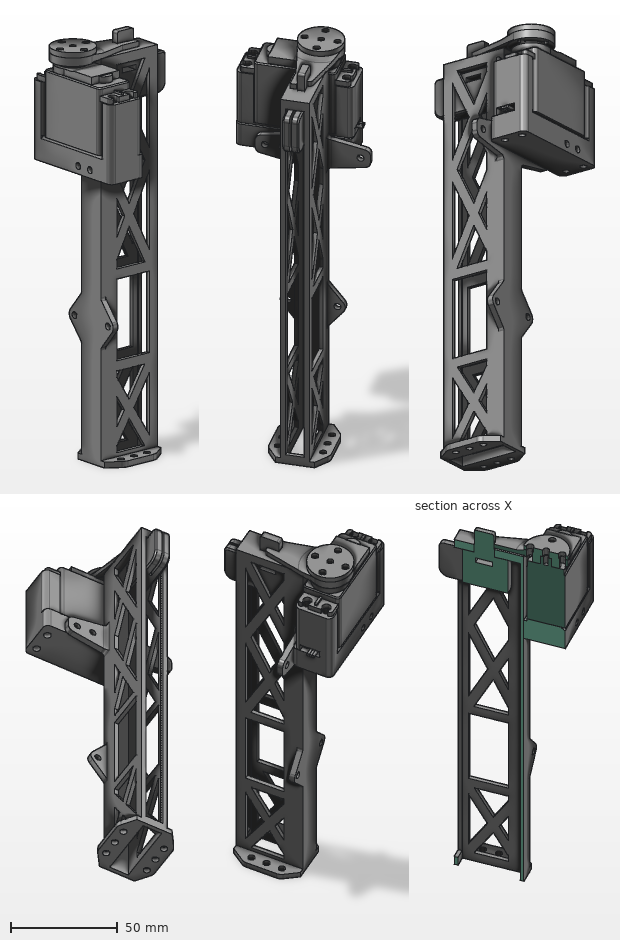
import cadquery as cq
import math

PICK_MARGIN = 0.3

ARM_WIDTH = 14.0
ARM_DEPTH = 35.0
ARM_HEIGHT = 200.0
ARM_WALL = 2.0
ARM_FRAME = 5.0
ARM_MID_Y = ARM_DEPTH / 2
BACK_SLOT_WIDTH = 9.0
WINDOW_Y = (10.0, 30.0)
SMALL_CELL_HEIGHT = 40.0
LARGE_CELL_HEIGHT = 50.0
CELL_WIDTH = 25.0
BLANK_CELL_Z = (50.0, 90.0)

SCREW_HOLE = 3.3
TAB_THICKNESS = 3.0

FOOT_THICKNESS = 3.0
FOOT_HALF_WIDTH = 15.2
FOOT_END_HALF_WIDTH = 9.5
FOOT_CORNER_LENGTH = 8.0
FOOT_CORNER_RADIUS = 5.0
FOOT_HOLE_X = 11.0
FOOT_HOLE_PITCH = 8.0
FOOT_HOLE_MID_Y = 17.0

LOW_TAB_Z = 70.0
LOW_TAB_HALF_HEIGHT = 12.0
LOW_TAB_HOLE_X = 12.0
LOW_TAB_END_RADIUS = 3.8
TAB_ROOT_RADIUS = 2.0

HIGH_TAB_Z = 153.5
HIGH_TAB_HALF_WIDTH = 28.0
HIGH_TAB_ROOT_HALF_HEIGHT = 8.1
HIGH_TAB_SLOPE = math.tan(math.radians(10))
HIGH_TAB_CORNER_RADIUS = 3.0
HIGH_TAB_HOLE_X = 23.2
INNER_SCREW_X = 14.8

SLIDER_WIDTH = 8.0
SLIDER_Y = (8.0, 43.0)
SLIDER_TOP = ARM_HEIGHT - ARM_FRAME
SLIDER_BOTTOM = 174.8
SLIDER_TOP_RADIUS = 2.5
SLIDER_BOTTOM_RADIUS = 5.0
SLIDER_EDGE = 0.8
PRONG_GAP = 1.2
PRONG_GAP_DEPTH = 12.0
LATCH_WIDTH = 3.5
LATCH_Y = (15.0, 25.0)
LATCH_TOP = 209.0
LATCH_RADIUS = 1.2
PIN_SLOT_Y = (15.8, 24.2)
PIN_SLOT_Z = (189.2, 191.7)

SHAFT_X = -0.3
SHAFT_Y = -11.0
SERVO_MID_X = 9.97
SERVO_LENGTH = 40.0
SERVO_WIDTH = 19.4
SERVO_BOTTOM = 162.0
SERVO_TOP = 195.0
SERVO_CORNER_RADIUS = 2.0
SERVO_TOP_CHAMFER = 0.6
WING_Z = (188.5, 191.2)
WING_SPAN = 53.3
WING_WIDTH = 18.0
WING_CORNER_RADIUS = 1.5
WING_HOLE = 4.2
WING_HOLE_SPAN = 48.3
WING_HOLE_PITCH = 10.0
WING_SLOT_WIDTH = 3.4
WING_RIB_WIDTH = 1.3
WING_RIB_TOP = 192.3
WING_RIB_SETBACK = 1.2
GEAR_BOSS_TOP = 198.2
GEAR_BOSS_RADIUS = 9.3
GEAR_CASE_TOP = 198.7
GEAR_CASE_WIDTH = 17.2
GEAR_CASE_END_X = 23.2
GEAR_CASE_STEP_X = (8.5, 10.8)
IDLER_DIAMETER = 8.8
IDLER_X = 21.5
SHAFT_DIAMETER = 5.7
SHAFT_TOP = 203.0
SHAFT_SCREW_HOLE = 2.11
WIRE_DIAMETER = 1.5
WIRE_PITCH = 1.3
WIRE_COUNT = 3
WIRE_Z = 162.8
WIRE_END_X = -21.0
RELIEF_X = -13.0
RELIEF_Y = (-14.0, -8.3)
RELIEF_TOP = 164.4

BRACKET_LENGTH = 57.0
BRACKET_Z = (149.5, WING_Z[0])
BRACKET_FRONT = SHAFT_Y - SERVO_WIDTH / 2
BRACKET_BACK = SHAFT_Y + SERVO_WIDTH / 2
BRACKET_PAD_TOP = 161.0
BRACKET_CORNER_RADIUS = 2.8
BRACKET_MOUTH = 2.0
BRACKET_SILL = 1.3
BRACKET_WING_SCREW = 3.5
WIRE_DOOR_Y = (-14.6, -4.3)
WIRE_DOOR_Z = (161.0, 164.7)

HORN_DIAMETER = 22.2
HORN_TOP = 207.0
HORN_JOINT = 204.3
HORN_NECK_DIAMETER = 13.85
HORN_SCREW = 3.4
HORN_SCREW_RADIUS = 8.0
HORN_CENTRE_SCREW = 3.1
LEVER_HUB_BOTTOM = 200.2
LEVER_BOTTOM = 200.6
LEVER_TOP = 203.2
LEVER_FLARE = 3.8
LEVER_LEFT_TIP = (-4.4, 21.2)
LEVER_LEFT_TIP_RADIUS = 1.8
LEVER_RIGHT_X = 5.0
LEVER_RIGHT_TIP_Y = 25.2
LEVER_RIGHT_BEND_Y = 15.0
LEVER_HOOK_X = 1.9


def box(x, y, z):
    """Box between the given pairs of limits."""
    return (
        cq.Workplane("XY")
        .box(x[1] - x[0], y[1] - y[0], z[1] - z[0], centered=False)
        .translate((x[0], y[0], z[0]))
    )


def rod(x, y, z, diameter):
    """Upright cylinder centred on (x, y) between the two heights in z."""
    return (
        cq.Workplane("XY", origin=(x, y, z[0]))
        .circle(diameter / 2)
        .extrude(z[1] - z[0])
    )


def tangent_point(point, centre, radius, side):
    """Where the tangent from a point touches a circle; side +1 or -1 picks the tangent."""
    dx = point[0] - centre[0]
    dy = point[1] - centre[1]
    angle = math.atan2(dy, dx) + side * math.acos(radius / math.hypot(dx, dy))
    return (centre[0] + radius * math.cos(angle), centre[1] + radius * math.sin(angle))


def front_holes(x_places, z, diameter, depth):
    """Round cutters along Y, from just in front of the bracket to the given Y."""
    start = BRACKET_FRONT - 1
    return (
        cq.Workplane("XZ", origin=(0, start, 0))
        .pushPoints([(x, z) for x in x_places])
        .circle(diameter / 2)
        .extrude(start - depth)
    )


def truss_windows(bottom, top):
    """Cutter for one truss cell: its window less the two diagonal bars."""
    middle = (ARM_MID_Y, (bottom + top) / 2)
    height = top - bottom
    diagonal = math.hypot(CELL_WIDTH, height)
    lean = math.degrees(math.atan2(height, CELL_WIDTH))
    cell = box((-ARM_WIDTH, ARM_WIDTH), WINDOW_Y, (bottom, top))
    for angle in (lean, -lean):
        bar = (
            cq.Workplane("YZ", origin=(-ARM_WIDTH, *middle))
            .transformed(rotate=(0, 0, angle))
            .rect(2 * diagonal, ARM_FRAME)
            .extrude(2 * ARM_WIDTH)
        )
        cell = cell.cut(bar)
    return cell


def high_tab():
    """Long tab behind the bracket, tapering to both ends."""
    root_x = ARM_WIDTH / 2
    tip_half = HIGH_TAB_ROOT_HALF_HEIGHT - (HIGH_TAB_HALF_WIDTH - root_x) * HIGH_TAB_SLOPE
    mid_half = HIGH_TAB_ROOT_HALF_HEIGHT + root_x * HIGH_TAB_SLOPE
    end = HIGH_TAB_HALF_WIDTH
    return (
        cq.Workplane("XZ", origin=(0, TAB_THICKNESS, HIGH_TAB_Z))
        .polyline(
            [
                (-end, -tip_half), (0, -mid_half), (end, -tip_half),
                (end, tip_half), (0, mid_half), (-end, tip_half),
            ]
        )
        .close()
        .extrude(TAB_THICKNESS)
        .edges("|Y and (<X or >X)")
        .fillet(HIGH_TAB_CORNER_RADIUS)
    )


def low_tab():
    """Diamond tab whose straight sides run tangent to a round end at each hole."""
    root = (ARM_WIDTH / 2, LOW_TAB_HALF_HEIGHT)
    touch_x, touch_z = tangent_point(root, (LOW_TAB_HOLE_X, 0), LOW_TAB_END_RADIUS, -1)
    tip_x = LOW_TAB_HOLE_X + LOW_TAB_END_RADIUS
    return (
        cq.Workplane("XZ", origin=(0, TAB_THICKNESS, LOW_TAB_Z))
        .moveTo(*root)
        .lineTo(touch_x, touch_z)
        .threePointArc((tip_x, 0), (touch_x, -touch_z))
        .lineTo(root[0], -root[1])
        .lineTo(-root[0], -root[1])
        .lineTo(-touch_x, -touch_z)
        .threePointArc((-tip_x, 0), (-touch_x, touch_z))
        .lineTo(-root[0], root[1])
        .close()
        .extrude(TAB_THICKNESS)
    )


def foot():
    """Foot plate with cut corners and three screw holes on each side."""
    wide, narrow = FOOT_HALF_WIDTH, FOOT_END_HALF_WIDTH
    near, far = FOOT_CORNER_LENGTH, ARM_DEPTH - FOOT_CORNER_LENGTH
    plate = (
        cq.Workplane("XY")
        .polyline(
            [
                (-narrow, 0), (narrow, 0), (wide, near), (wide, far),
                (narrow, ARM_DEPTH), (-narrow, ARM_DEPTH), (-wide, far), (-wide, near),
            ]
        )
        .close()
        .extrude(FOOT_THICKNESS)
        .edges("|Z and (<X or >X)")
        .fillet(FOOT_CORNER_RADIUS)
    )
    for x in (-FOOT_HOLE_X, FOOT_HOLE_X):
        for step in (-1, 0, 1):
            y = FOOT_HOLE_MID_Y + step * FOOT_HOLE_PITCH
            plate = plate.cut(rod(x, y, (0, FOOT_THICKNESS), SCREW_HOLE))
    return plate


def build_arm():
    half = ARM_WIDTH / 2
    arm = box((-half, half), (0, ARM_DEPTH), (0, ARM_HEIGHT)).union(high_tab())

    root_height = HIGH_TAB_ROOT_HALF_HEIGHT + TAB_ROOT_RADIUS
    for side in (-half, half):
        roots = cq.selectors.BoxSelector(
            (side - PICK_MARGIN, -PICK_MARGIN, HIGH_TAB_Z - root_height),
            (side + PICK_MARGIN, TAB_THICKNESS + PICK_MARGIN, HIGH_TAB_Z + root_height),
        )
        arm = arm.edges(roots).fillet(TAB_ROOT_RADIUS)
    arm = arm.union(low_tab())
    for side in (-half, half):
        for end in (-LOW_TAB_HALF_HEIGHT, LOW_TAB_HALF_HEIGHT):
            root = cq.selectors.NearestToPointSelector((side, TAB_THICKNESS / 2, LOW_TAB_Z + end))
            arm = arm.edges("|Y").edges(root).fillet(TAB_ROOT_RADIUS)
    arm = arm.union(foot())

    inner = half - ARM_WALL
    cavity_top = ARM_HEIGHT - ARM_FRAME
    slot_half = BACK_SLOT_WIDTH / 2
    arm = arm.cut(box((-inner, inner), (ARM_WALL, ARM_DEPTH - ARM_WALL), (0, cavity_top)))
    arm = arm.cut(box((-slot_half, slot_half), (ARM_MID_Y, ARM_DEPTH), (ARM_FRAME, cavity_top)))

    low_cell_top = ARM_FRAME + SMALL_CELL_HEIGHT
    arm = arm.cut(truss_windows(ARM_FRAME, low_cell_top))
    arm = arm.cut(box((-ARM_WIDTH, ARM_WIDTH), WINDOW_Y, BLANK_CELL_Z))
    for row in range(2):
        bottom = BLANK_CELL_Z[1] + ARM_FRAME + row * LARGE_CELL_HEIGHT
        arm = arm.cut(truss_windows(bottom, bottom + LARGE_CELL_HEIGHT))

    arm = arm.cut(latch_bar(SLIDER_TOP, ARM_HEIGHT))
    high_holes = (-HIGH_TAB_HOLE_X, INNER_SCREW_X, HIGH_TAB_HOLE_X)
    arm = arm.cut(front_holes(high_holes, HIGH_TAB_Z, SCREW_HOLE, TAB_THICKNESS))
    low_holes = (-LOW_TAB_HOLE_X, LOW_TAB_HOLE_X)
    return arm.cut(front_holes(low_holes, LOW_TAB_Z, SCREW_HOLE, TAB_THICKNESS))


def latch_bar(bottom, top):
    """Rectangular latch section between two heights."""
    return box((SHAFT_X - LATCH_WIDTH / 2, SHAFT_X + LATCH_WIDTH / 2), LATCH_Y, (bottom, top))


def build_slider():
    half = SLIDER_WIDTH / 2
    block = box((-half, half), SLIDER_Y, (SLIDER_BOTTOM, SLIDER_TOP))
    block = block.edges("|X and >Y and >Z").fillet(SLIDER_TOP_RADIUS)
    block = block.edges("|X and >Y and <Z").fillet(SLIDER_BOTTOM_RADIUS)
    block = block.faces(">Y").edges("|Z").chamfer(SLIDER_EDGE)
    gap_y = (SLIDER_Y[1] - PRONG_GAP_DEPTH, SLIDER_Y[1])
    block = block.cut(box((-PRONG_GAP / 2, PRONG_GAP / 2), gap_y, (SLIDER_BOTTOM, SLIDER_TOP)))
    block = block.cut(box((-half, half), PIN_SLOT_Y, PIN_SLOT_Z))
    latch = latch_bar(SLIDER_TOP, LATCH_TOP).edges("|X and >Z").fillet(LATCH_RADIUS)
    return block.union(latch)


def wing_holes(diameter, z):
    """Four upright cutters on the servo's screw pattern."""
    cutters = cq.Workplane("XY")
    for side in (-1, 1):
        for row in (-1, 1):
            x = SERVO_MID_X + side * WING_HOLE_SPAN / 2
            y = SHAFT_Y + row * WING_HOLE_PITCH / 2
            cutters = cutters.add(rod(x, y, z, diameter))
    return cutters.combine()


def servo_wings():
    """Screw wings at both ends, with open-ended screw holes and a stiffening rib."""
    half_span = WING_SPAN / 2
    wings = box(
        (SERVO_MID_X - half_span, SERVO_MID_X + half_span),
        (SHAFT_Y - WING_WIDTH / 2, SHAFT_Y + WING_WIDTH / 2),
        WING_Z,
    )
    wings = wings.edges("|Z").fillet(WING_CORNER_RADIUS)
    wings = wings.cut(wing_holes(WING_HOLE, WING_Z))
    for side in (-1, 1):
        slot_x = sorted(SERVO_MID_X + side * reach for reach in (WING_HOLE_SPAN / 2, half_span))
        for row in (-1, 1):
            y = SHAFT_Y + row * WING_HOLE_PITCH / 2
            wings = wings.cut(box(slot_x, (y - WING_SLOT_WIDTH / 2, y + WING_SLOT_WIDTH / 2), WING_Z))
    rib_half = half_span - WING_RIB_SETBACK
    rib = box(
        (SERVO_MID_X - rib_half, SERVO_MID_X + rib_half),
        (SHAFT_Y - WING_RIB_WIDTH / 2, SHAFT_Y + WING_RIB_WIDTH / 2),
        (WING_Z[1], WING_RIB_TOP),
    )
    return wings.union(rib)


def servo_wires():
    """Row of wires leaving the servo's end, with the block that grips them."""
    end_x = SERVO_MID_X - SERVO_LENGTH / 2 + SERVO_CORNER_RADIUS
    cable = box((RELIEF_X, end_x), RELIEF_Y, (SERVO_BOTTOM, RELIEF_TOP))
    for index in range(WIRE_COUNT):
        y = SHAFT_Y + (index - (WIRE_COUNT - 1) / 2) * WIRE_PITCH
        wire = (
            cq.Workplane("YZ", origin=(WIRE_END_X, y, WIRE_Z))
            .circle(WIRE_DIAMETER / 2)
            .extrude(end_x - WIRE_END_X)
        )
        cable = cable.union(wire)
    return cable


def build_servo():
    case = (
        cq.Workplane("XY", origin=(SERVO_MID_X, SHAFT_Y, SERVO_BOTTOM))
        .rect(SERVO_LENGTH, SERVO_WIDTH)
        .extrude(SERVO_TOP - SERVO_BOTTOM)
        .edges("|Z")
        .fillet(SERVO_CORNER_RADIUS)
        .faces(">Z")
        .edges()
        .chamfer(SERVO_TOP_CHAMFER)
    )
    case_y = (SHAFT_Y - GEAR_CASE_WIDTH / 2, SHAFT_Y + GEAR_CASE_WIDTH / 2)
    boss_z = (SERVO_TOP, GEAR_BOSS_TOP)
    ramp_start, ramp_end = GEAR_CASE_STEP_X
    gear_case = (
        cq.Workplane("XZ", origin=(0, case_y[1], 0))
        .polyline(
            [
                (SHAFT_X, SERVO_TOP), (SHAFT_X, GEAR_BOSS_TOP), (ramp_start, GEAR_BOSS_TOP),
                (ramp_end, GEAR_CASE_TOP), (GEAR_CASE_END_X, GEAR_CASE_TOP), (GEAR_CASE_END_X, SERVO_TOP),
            ]
        )
        .close()
        .extrude(GEAR_CASE_WIDTH)
    )
    return (
        case.union(servo_wings())
        .union(servo_wires())
        .union(rod(SHAFT_X, SHAFT_Y, boss_z, 2 * GEAR_BOSS_RADIUS))
        .union(gear_case)
        .union(rod(IDLER_X, SHAFT_Y, boss_z, IDLER_DIAMETER))
        .union(rod(SHAFT_X, SHAFT_Y, (SERVO_TOP, SHAFT_TOP), SHAFT_DIAMETER))
        .cut(rod(SHAFT_X, SHAFT_Y, (GEAR_BOSS_TOP, SHAFT_TOP), SHAFT_SCREW_HOLE))
    )


def rounded_block(back, z):
    """Block as long as the bracket, from its front face to the given Y, with round upright edges."""
    half = BRACKET_LENGTH / 2
    block = box((SERVO_MID_X - half, SERVO_MID_X + half), (BRACKET_FRONT, back), z)
    return block.edges("|Z").fillet(BRACKET_CORNER_RADIUS)


def build_bracket():
    bracket = rounded_block(BRACKET_BACK, BRACKET_Z)
    bracket = bracket.union(rounded_block(0, (BRACKET_Z[0], BRACKET_PAD_TOP)))

    half = SERVO_LENGTH / 2
    seat_x = (SERVO_MID_X - half, SERVO_MID_X + half)
    bracket = bracket.cut(box(seat_x, (BRACKET_FRONT, BRACKET_BACK), (SERVO_BOTTOM, BRACKET_Z[1])))
    mouth = BRACKET_MOUTH
    mouth_height = BRACKET_Z[1] - SERVO_BOTTOM
    flare = (
        cq.Workplane("XY", origin=(SERVO_MID_X, BRACKET_FRONT, SERVO_BOTTOM))
        .polyline([(-half - mouth, 0), (half + mouth, 0), (half, mouth), (-half, mouth)])
        .close()
        .extrude(mouth_height)
    )
    sill = (
        cq.Workplane("YZ", origin=(seat_x[0] - mouth, BRACKET_FRONT, SERVO_BOTTOM))
        .polyline([(0, 0), (mouth, 0), (0, -BRACKET_SILL)])
        .close()
        .extrude(SERVO_LENGTH + 2 * mouth)
    )
    bracket = bracket.cut(flare).cut(sill)

    door_x = (SERVO_MID_X - BRACKET_LENGTH / 2, seat_x[0])
    bracket = bracket.cut(box(door_x, WIRE_DOOR_Y, WIRE_DOOR_Z))
    bracket = bracket.cut(wing_holes(BRACKET_WING_SCREW, BRACKET_Z))
    return bracket.cut(front_holes((INNER_SCREW_X, HIGH_TAB_HOLE_X), HIGH_TAB_Z, SCREW_HOLE, 0))


def horn_screws(z):
    """Four upright cutters evenly round the shaft."""
    return (
        cq.Workplane("XY", origin=(SHAFT_X, SHAFT_Y, z[0]))
        .polarArray(HORN_SCREW_RADIUS, 0, 360, 4)
        .circle(HORN_SCREW / 2)
        .extrude(z[1] - z[0])
    )


def build_horn():
    disc_z = (HORN_JOINT, HORN_TOP)
    neck_z = (GEAR_BOSS_TOP, HORN_JOINT)
    return (
        rod(SHAFT_X, SHAFT_Y, disc_z, HORN_DIAMETER)
        .union(rod(SHAFT_X, SHAFT_Y, neck_z, HORN_NECK_DIAMETER))
        .cut(rod(SHAFT_X, SHAFT_Y, (GEAR_BOSS_TOP, SHAFT_TOP), SHAFT_DIAMETER))
        .cut(rod(SHAFT_X, SHAFT_Y, (SHAFT_TOP, HORN_TOP), HORN_CENTRE_SCREW))
        .cut(horn_screws(disc_z))
    )


def lever_profile(height):
    """Lever outline from the hub to its forked tip, raised by the given height."""
    centre = (SHAFT_X, SHAFT_Y)
    radius = HORN_DIAMETER / 2
    right_bend = (LEVER_RIGHT_X, LEVER_RIGHT_BEND_Y)
    left_touch = tangent_point(LEVER_LEFT_TIP, centre, radius, 1)
    right_touch = tangent_point(right_bend, centre, radius, -1)
    return (
        cq.Workplane("XY", origin=(0, 0, LEVER_BOTTOM))
        .moveTo(*left_touch)
        .threePointArc((SHAFT_X, SHAFT_Y - radius), right_touch)
        .lineTo(*right_bend)
        .lineTo(LEVER_RIGHT_X, LEVER_RIGHT_TIP_Y)
        .lineTo(LEVER_HOOK_X, LEVER_RIGHT_TIP_Y)
        .lineTo(LEVER_HOOK_X, LEVER_LEFT_TIP[1])
        .lineTo(*LEVER_LEFT_TIP)
        .close()
        .extrude(height)
        .edges(cq.selectors.NearestToPointSelector((*LEVER_LEFT_TIP, LEVER_BOTTOM + height / 2)))
        .fillet(LEVER_LEFT_TIP_RADIUS)
    )


def lever_flare():
    """Concave flare from the top of the lever up to the rim of the hub."""
    hub = HORN_DIAMETER / 2
    rise = HORN_JOINT - LEVER_TOP
    curve = (LEVER_FLARE**2 + rise**2) / (2 * rise)
    middle = LEVER_FLARE / 2
    middle_rise = curve - math.sqrt(curve**2 - middle**2)
    return (
        cq.Workplane("XZ", origin=(SHAFT_X, SHAFT_Y, LEVER_TOP))
        .moveTo(0, 0)
        .lineTo(hub + LEVER_FLARE, 0)
        .threePointArc((hub + middle, middle_rise), (hub, rise))
        .lineTo(0, rise)
        .close()
        .revolve(360, (0, 0, 0), (0, 1, 0))
    )


def build_lever():
    hub_z = (LEVER_HUB_BOTTOM, HORN_JOINT)
    flare = lever_flare().intersect(lever_profile(HORN_JOINT - LEVER_BOTTOM))
    return (
        lever_profile(LEVER_TOP - LEVER_BOTTOM)
        .union(flare)
        .union(rod(SHAFT_X, SHAFT_Y, hub_z, HORN_DIAMETER))
        .cut(rod(SHAFT_X, SHAFT_Y, hub_z, HORN_NECK_DIAMETER))
        .cut(horn_screws(hub_z))
        .cut(latch_bar(LEVER_BOTTOM, LEVER_TOP))
    )


arm = build_arm()
slider = build_slider()
servo = build_servo()
bracket = build_bracket()
horn = build_horn()
lever = build_lever()

bodies = (arm, slider, servo, bracket, horn, lever)
result = cq.Compound.makeCompound([body.solids().val() for body in bodies])